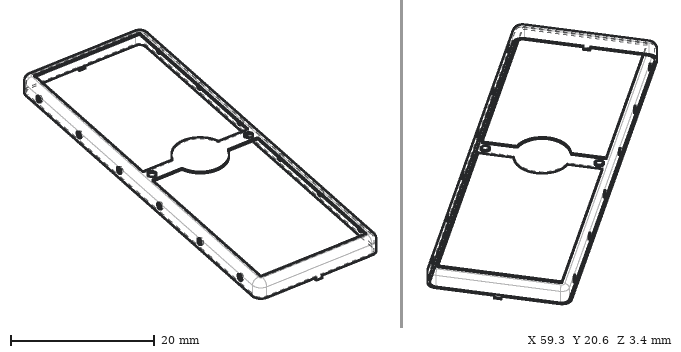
import cadquery as cq

length = 59.3
width = 20.6
total_height = 3.4
tab_drop = 0.5
body_height = total_height - tab_drop
corner_radius = 1.4
top_round = 1.0
wall = 0.35
lip_width = 1.4
plate_thickness = 0.3

bridge_width = 2.4
disc_diameter = 8.05
bridge_hole_diameter = 1.3
bridge_hole_spacing = 16.25

side_hole_diameter = 1.0
side_hole_count = 6
side_hole_pitch = 10.0
side_hole_depth_from_top = 1.6

tab_width = 1.0
tab_thickness = 0.3

plate_bottom = body_height - plate_thickness


def make_frame():
    """Rounded hollow frame, open below, with a narrow lip around the top."""
    outer = cq.Workplane("XY").rect(length, width).extrude(body_height)
    outer = outer.edges("|Z").fillet(corner_radius)
    outer = outer.faces(">Z").edges().fillet(top_round)
    cavity = cq.Workplane("XY").rect(length - 2 * wall, width - 2 * wall).extrude(plate_bottom)
    cavity = cavity.edges("|Z").fillet(corner_radius - wall)
    cavity = cavity.faces(">Z").edges().fillet(top_round - wall)
    opening = cq.Workplane("XY").rect(length - 2 * lip_width, width - 2 * lip_width).extrude(body_height)
    return outer.cut(cavity).cut(opening)


def make_bridge():
    """Thin strap with a central disc, flush with the top of the frame."""
    plane = cq.Workplane("XY").workplane(offset=plate_bottom)
    strap = plane.rect(bridge_width, width - 2 * top_round).extrude(plate_thickness)
    disc = plane.circle(disc_diameter / 2).extrude(plate_thickness)
    return strap.union(disc)


def make_bridge_holes():
    """Cutters for one vertical hole near each end of the strap."""
    holes = cq.Workplane("XY").rarray(0.6, bridge_hole_spacing, 1, 2)
    return holes.circle(bridge_hole_diameter / 2).extrude(body_height)


def make_side_holes():
    """Cutters for the row of holes running through both long walls."""
    row = cq.Workplane("XZ").center(0, body_height - side_hole_depth_from_top)
    row = row.rarray(side_hole_pitch, 0.6, side_hole_count, 1)
    return row.circle(side_hole_diameter / 2).extrude(width / 2, both=True)


def make_tabs():
    """Small tabs below the short walls, flush with the outer ends."""
    tabs = cq.Workplane("XY").workplane(offset=-tab_drop)
    tabs = tabs.rarray(length - tab_thickness, 0.6, 2, 1)
    return tabs.rect(tab_thickness, tab_width).extrude(tab_drop)


result = make_frame().union(make_bridge()).union(make_tabs())
result = result.cut(make_bridge_holes()).cut(make_side_holes())